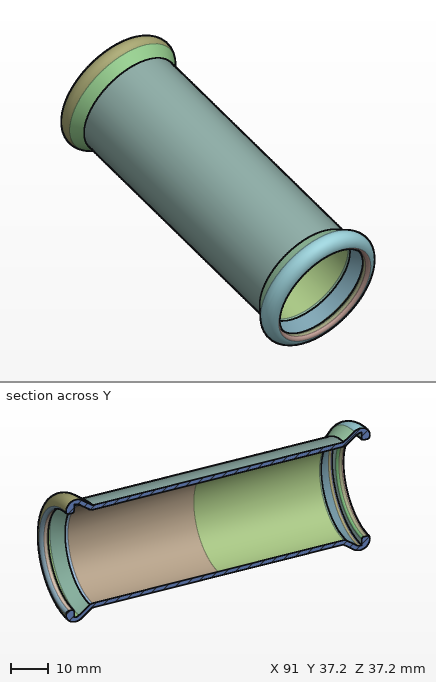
import cadquery as cq
import math

length = 91.0
bead_diameter = 37.2
tube_diameter = 31.3
seat_diameter = 28.8
bore_diameter = 28.3
mouth_diameter = 29.3

bead_radius = 3.0
neck_depth = 8.0
lip_back_fillet = 0.6
lip_depth = 2.55
bore_depth = 7.9

tube_radius = tube_diameter / 2
bead_outer_radius = bead_diameter / 2
seat_radius = seat_diameter / 2
bore_radius = bore_diameter / 2
mouth_radius = mouth_diameter / 2
wall = tube_radius - bore_radius
hollow_radius = bead_radius - wall
bead_center_radius = bead_outer_radius - bead_radius
mouth_fillet = bead_center_radius - mouth_radius

neck_run = neck_depth - bead_radius
neck_rise = tube_radius - bead_center_radius
cone_angle = math.atan2(neck_rise, neck_run) + math.acos(bead_radius / math.hypot(neck_run, neck_rise))


def bead_point(radius, angle):
    """Point on a circle around the centre of the bead's cross-section at the -X end."""
    x = -length / 2 + bead_radius + radius * math.cos(angle)
    return x, bead_center_radius + radius * math.sin(angle)


def half_sleeve():
    """Revolve the profile from the -X end to the middle plane around the X axis."""
    end = -length / 2
    crest_angle = math.pi / 2
    outer_middle_angle = (math.pi + cone_angle) / 2
    hollow_middle_angle = (crest_angle + cone_angle) / 2
    hollow_end = bead_point(hollow_radius, cone_angle)
    seat_x = hollow_end[0] + (hollow_end[1] - seat_radius) * math.tan(cone_angle)

    profile = (
        cq.Workplane("XY")
        .moveTo(*bead_point(bead_radius, math.pi))
        .threePointArc(bead_point(bead_radius, outer_middle_angle), bead_point(bead_radius, cone_angle))
        .lineTo(end + neck_depth, tube_radius)
        .lineTo(0, tube_radius)
        .lineTo(0, bore_radius)
        .lineTo(end + bore_depth, bore_radius)
        .lineTo(seat_x, seat_radius)
        .lineTo(*hollow_end)
        .threePointArc(bead_point(hollow_radius, hollow_middle_angle), bead_point(hollow_radius, crest_angle))
        .lineTo(end + lip_depth, bead_center_radius + hollow_radius)
        .lineTo(end + lip_depth, mouth_radius + lip_back_fillet)
        .tangentArcPoint((end + lip_depth - lip_back_fillet, mouth_radius), relative=False)
        .lineTo(end + mouth_fillet, mouth_radius)
        .tangentArcPoint((end, bead_center_radius), relative=False)
        .close()
    )
    return profile.revolve(360, (0, 0, 0), (1, 0, 0))


left_half = half_sleeve()
result = left_half.union(left_half.mirror("YZ"), clean=True)